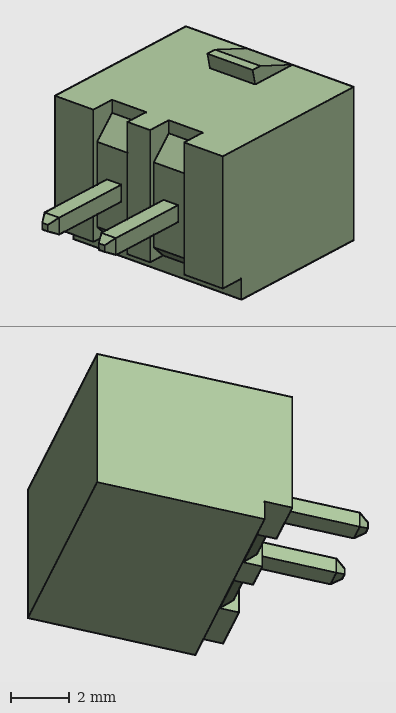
import cadquery as cq

overall_length = 10.5
overall_height = 6.39
width = 7.4
depth = 7.0
height = 5.8

step_depth = 1.0
step_height = 0.8

pin_count = 2
pin_pitch = 2.5
pin_side = 0.64
pin_reach = overall_length - depth
pin_tip_side = 0.25
pin_tip_length = 0.37
pin_height = height / 2

recess_width = 1.5
recess_depth = step_depth
centre_face_depth = 0.2
centre_face_height = 3.21

latch_width = 2
latch_height = overall_height - height
latch_base_length = 2
latch_ramp_length = 1.72
latch_top_length = 2.13

pin_positions = [(i - (pin_count - 1) / 2) * pin_pitch for i in range(pin_count)]


def side_extrusion(points, x_centre, extrusion_width):
    """Extrude a (Y, Z) outline along X, centred on x_centre."""
    outline = cq.Workplane("YZ", origin=(x_centre, 0, 0)).polyline(points).close()
    return outline.extrude(extrusion_width / 2, both=True)


def make_housing():
    outline = [
        (0, height),
        (0, step_height),
        (step_depth, step_height),
        (step_depth, 0),
        (depth, 0),
        (depth, height),
    ]
    return side_extrusion(outline, 0, width)


def make_recess(x):
    slope = recess_depth - centre_face_depth
    face_top = pin_height + centre_face_height / 2
    face_bottom = pin_height - centre_face_height / 2
    lower_depth = centre_face_depth + face_bottom - step_height
    outline = [
        (0, height),
        (recess_depth, height),
        (recess_depth, face_top + slope),
        (centre_face_depth, face_top),
        (centre_face_depth, face_bottom),
        (lower_depth, step_height),
        (0, step_height),
    ]
    return side_extrusion(outline, x, recess_width)


def make_pin(x):
    """Square pin rooted inside the housing, with a tapered square tip."""
    shaft_end = pin_tip_length - pin_reach
    shaft = (
        cq.Workplane("XZ", origin=(x, recess_depth, pin_height))
        .rect(pin_side, pin_side)
        .extrude(recess_depth - shaft_end)
    )
    tip = (
        cq.Workplane("XZ", origin=(x, shaft_end, pin_height))
        .rect(pin_side, pin_side)
        .workplane(offset=pin_tip_length)
        .rect(pin_tip_side, pin_tip_side)
        .loft(ruled=True)
    )
    return shaft.union(tip)


def make_latch():
    """Ramp rising from the back edge to a flat top with an undercut front."""
    latch_top = height + latch_height
    outline = [
        (depth, height),
        (depth - latch_ramp_length, latch_top),
        (depth - latch_top_length, latch_top),
        (depth - latch_base_length, height),
    ]
    return side_extrusion(outline, 0, latch_width)


result = make_housing().union(make_latch())
for pin_x in pin_positions:
    result = result.cut(make_recess(pin_x))
    result = result.union(make_pin(pin_x))